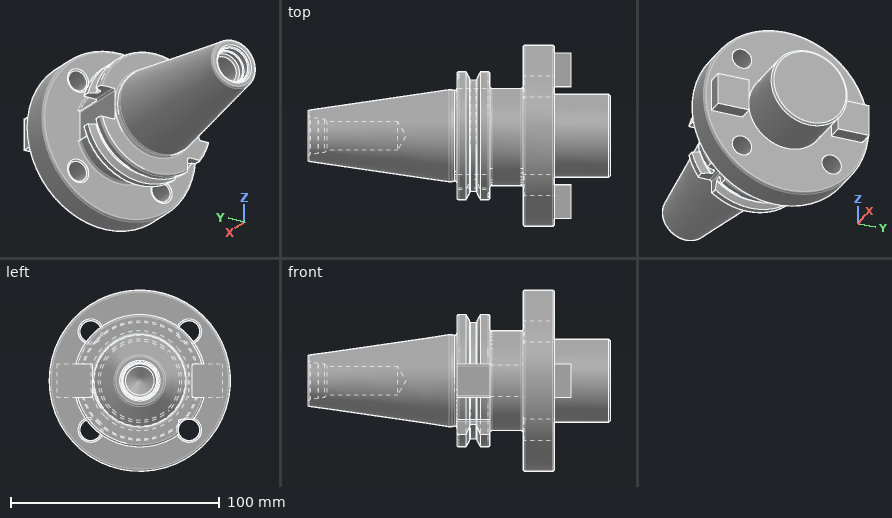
import cadquery as cq
import math


GAUGE_RADIUS = 44.45 / 2
TAPER_RATIO = 7 / 24 / 2
TAPER_START_X = -68.25
TAPER_END_X = -0.5
TAPER_TIP_ROUND = 0.9
CREST_END_X = 0.8
NECK_RADIUS = 21.8

FLANGE_START_X = 3.2
FLANGE_END_X = 19.1
FLANGE_RADIUS = 63.55 / 2
GROOVE_CENTER_X = 11.1
GROOVE_MOUTH_WIDTH = 7.0
GROOVE_BOTTOM_RADIUS = 28.0
GROOVE_BOTTOM_WIDTH = 3.4
GROOVE_ROOT_ROUND = 0.4
GROOVE_HALF_ANGLE = 30
EDGE_ROUND = 1.0

SLOT_WIDTH = 16.1
SLOT_FLOOR_PLUS_Y = 22.6
SLOT_FLOOR_MINUS_Y = 25.0
NOTCH_OFFSET = 18.5
INNER_CORNER_ROUND = 1.0

COLLAR_RADIUS = 24.0
COLLAR_FILLET = 1.0
DISC_START_X = 35.0
DISC_END_X = 50.0
DISC_RADIUS = 87 / 2
SPIGOT_LENGTH = 27.0
SPIGOT_RADIUS = 40 / 2
SPIGOT_CHAMFER = 1.0

KEY_WIDTH = 16.2
KEY_HEIGHT = 8.0
KEY_INNER_Y = 23.4
KEY_OUTER_Y = 39.7

HOLE_COUNT = 4
HOLE_CIRCLE_RADIUS = 66.7 / 2
HOLE_DIAMETER = 10.2
HOLE_MOUTH_DIAMETER = 12.0

COUNTERSINK_SLOPE = 1 / math.tan(math.radians(60))

MOUTH_RADIUS = 9.7
MOUTH_CONE_HALF_ANGLE = 30
RECESS_RADIUS = 9.1
RELIEF_RADIUS = 8.5
RELIEF_DEPTH = 4.8
THREAD_RADIUS = 8.0
THREAD_DEPTH = 8.0
DRILL_RADIUS = 6.9
DRILL_DEPTH = 43.0
DRILL_TIP_HALF_ANGLE = 59


def revolve_about_x(outline):
    """Turn a closed outline, drawn as (x, radius), about the X axis."""
    return outline.close().revolve(360, (0, 0, 0), (1, 0, 0))


def cylinder(radius, start_x, end_x):
    return cq.Workplane("YZ", origin=(start_x, 0, 0)).circle(radius).extrude(end_x - start_x)


def taper_radius(x):
    return GAUGE_RADIUS + TAPER_RATIO * x


def taper_and_neck():
    crest_radius = taper_radius(TAPER_END_X)
    fillet_start_x = FLANGE_START_X - EDGE_ROUND
    inside_flange_x = FLANGE_START_X + EDGE_ROUND
    outline = (
        cq.Workplane("XY")
        .moveTo(TAPER_START_X, 0)
        .lineTo(TAPER_START_X, taper_radius(TAPER_START_X))
        .lineTo(TAPER_END_X, crest_radius)
        .lineTo(CREST_END_X, crest_radius)
        .lineTo(fillet_start_x, NECK_RADIUS)
        .radiusArc((FLANGE_START_X, NECK_RADIUS + EDGE_ROUND), -EDGE_ROUND)
        .lineTo(inside_flange_x, NECK_RADIUS + EDGE_ROUND)
        .lineTo(inside_flange_x, 0)
    )
    return revolve_about_x(outline).faces("<X").edges().fillet(TAPER_TIP_ROUND)


def groove_ring():
    """V flanks that turn into short straight walls just above a rounded floor."""
    half_mouth = GROOVE_MOUTH_WIDTH / 2
    half_bottom = GROOVE_BOTTOM_WIDTH / 2
    flank_depth = (half_mouth - half_bottom) / math.tan(math.radians(GROOVE_HALF_ANGLE))
    wall_top_radius = FLANGE_RADIUS - flank_depth
    outline = (
        cq.Workplane("XY")
        .moveTo(GROOVE_CENTER_X - half_mouth, FLANGE_RADIUS)
        .lineTo(GROOVE_CENTER_X - half_bottom, wall_top_radius)
        .lineTo(GROOVE_CENTER_X - half_bottom, GROOVE_BOTTOM_RADIUS)
        .lineTo(GROOVE_CENTER_X + half_bottom, GROOVE_BOTTOM_RADIUS)
        .lineTo(GROOVE_CENTER_X + half_bottom, wall_top_radius)
        .lineTo(GROOVE_CENTER_X + half_mouth, FLANGE_RADIUS)
    )
    floor_edges = cq.selectors.RadiusNthSelector(0)
    return revolve_about_x(outline).edges(floor_edges).fillet(GROOVE_ROOT_ROUND)


def flange():
    ring = cylinder(FLANGE_RADIUS, FLANGE_START_X, FLANGE_END_X).edges().fillet(EDGE_ROUND)
    return ring.cut(groove_ring())


def collar():
    """Cylinder between flange and disc, with a concave fillet at both ends."""
    foot_radius = COLLAR_RADIUS + COLLAR_FILLET
    outline = (
        cq.Workplane("XY")
        .moveTo(FLANGE_END_X, 0)
        .lineTo(FLANGE_END_X, foot_radius)
        .radiusArc((FLANGE_END_X + COLLAR_FILLET, COLLAR_RADIUS), -COLLAR_FILLET)
        .lineTo(DISC_START_X - COLLAR_FILLET, COLLAR_RADIUS)
        .radiusArc((DISC_START_X, foot_radius), -COLLAR_FILLET)
        .lineTo(DISC_START_X, 0)
    )
    return revolve_about_x(outline)


def disc():
    return cylinder(DISC_RADIUS, DISC_START_X, DISC_END_X).edges().fillet(EDGE_ROUND)


def spigot():
    pin = cylinder(SPIGOT_RADIUS, DISC_END_X, DISC_END_X + SPIGOT_LENGTH)
    return pin.faces(">X").chamfer(SPIGOT_CHAMFER)


def drive_key(side):
    """Block on the rear face of the disc; side is +1 or -1 along Y."""
    center_y = side * (KEY_INNER_Y + KEY_OUTER_Y) / 2
    return (
        cq.Workplane("XY", origin=(DISC_END_X, center_y, 0))
        .box(KEY_HEIGHT, KEY_OUTER_Y - KEY_INNER_Y, KEY_WIDTH, centered=(False, True, True))
    )


def slot_cutter(side, floor_y, end_x):
    """Block that opens a drive slot from outside down to floor_y, up to end_x."""
    depth = FLANGE_RADIUS - floor_y
    block = (
        cq.Workplane("XY")
        .box(end_x - FLANGE_START_X, depth, SLOT_WIDTH, centered=(False, False, True))
        .edges("|X and <Y")
        .fillet(INNER_CORNER_ROUND)
        .translate((FLANGE_START_X, floor_y, 0))
    )
    return block if side > 0 else block.mirror("XZ")


def notch_cutter():
    """Corner cut that marks the orientation, on the -Y -Z side of the flange."""
    size = FLANGE_RADIUS - NOTCH_OFFSET
    return (
        cq.Workplane("XY")
        .box(FLANGE_END_X - FLANGE_START_X, size, size, centered=False)
        .edges("|X and <Y and <Z")
        .fillet(INNER_CORNER_ROUND)
        .translate((FLANGE_START_X, NOTCH_OFFSET, NOTCH_OFFSET))
        .rotate((0, 0, 0), (1, 0, 0), 180)
    )


def bolt_hole_cutters():
    mouth_radius = HOLE_MOUTH_DIAMETER / 2
    hole_radius = HOLE_DIAMETER / 2
    mouth_depth = (mouth_radius - hole_radius) * COUNTERSINK_SLOPE
    outline = (
        cq.Workplane("XY")
        .moveTo(DISC_START_X, 0)
        .lineTo(DISC_START_X, mouth_radius)
        .lineTo(DISC_START_X + mouth_depth, hole_radius)
        .lineTo(DISC_END_X, hole_radius)
        .lineTo(DISC_END_X, 0)
    )
    hole = revolve_about_x(outline).translate((0, HOLE_CIRCLE_RADIUS, 0))
    step = 360 / HOLE_COUNT
    return [hole.rotate((0, 0, 0), (1, 0, 0), step * (index + 0.5)) for index in range(HOLE_COUNT)]


def bore_cutter():
    """Stepped hole: 60 degree mouth, two 120 degree steps, a 45 degree step and a drill point."""
    mouth_end = (MOUTH_RADIUS - RECESS_RADIUS) / math.tan(math.radians(MOUTH_CONE_HALF_ANGLE))
    relief_start = mouth_end + (RECESS_RADIUS - RELIEF_RADIUS) * COUNTERSINK_SLOPE
    thread_start = RELIEF_DEPTH + (RELIEF_RADIUS - THREAD_RADIUS) * COUNTERSINK_SLOPE
    drill_start = THREAD_DEPTH + THREAD_RADIUS - DRILL_RADIUS
    tip_length = DRILL_RADIUS / math.tan(math.radians(DRILL_TIP_HALF_ANGLE))
    outline = (
        cq.Workplane("XY")
        .moveTo(0, 0)
        .lineTo(0, MOUTH_RADIUS)
        .lineTo(mouth_end, RECESS_RADIUS)
        .lineTo(relief_start, RELIEF_RADIUS)
        .lineTo(RELIEF_DEPTH, RELIEF_RADIUS)
        .lineTo(thread_start, THREAD_RADIUS)
        .lineTo(THREAD_DEPTH, THREAD_RADIUS)
        .lineTo(drill_start, DRILL_RADIUS)
        .lineTo(DRILL_DEPTH, DRILL_RADIUS)
        .lineTo(DRILL_DEPTH + tip_length, 0)
    )
    return revolve_about_x(outline).translate((TAPER_START_X, 0, 0))


shank = (
    flange()
    .union(taper_and_neck())
    .union(collar())
    .cut(slot_cutter(+1, SLOT_FLOOR_PLUS_Y, DISC_START_X))
    .cut(slot_cutter(-1, SLOT_FLOOR_MINUS_Y, FLANGE_END_X))
    .cut(notch_cutter())
)
body = shank.union(disc()).union(spigot())
for key_side in (+1, -1):
    body = body.union(drive_key(key_side))
for hole_cutter in bolt_hole_cutters():
    body = body.cut(hole_cutter)
result = body.cut(bore_cutter())